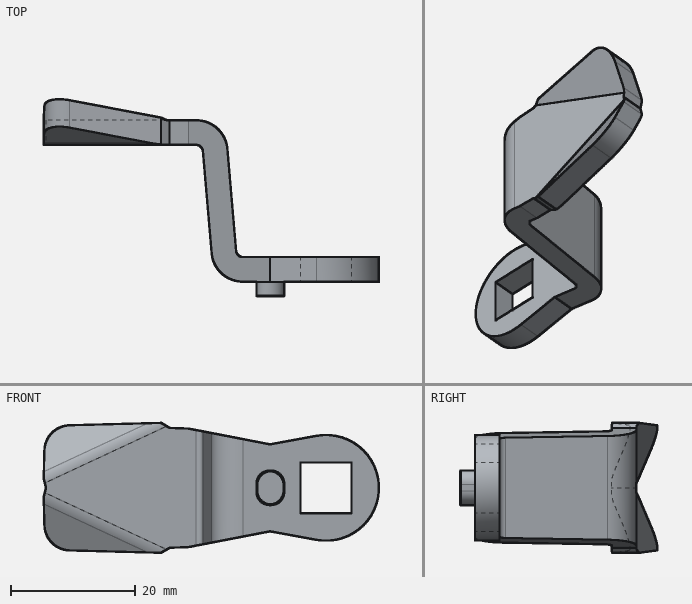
import cadquery as cq
import math

thickness = 4.0
head_radius = 8.5
tip_x = head_radius - 53.95
square_side = 8.15
offset_y = 22.0
leg_top_x = -19.9
leg_bottom_x = -18.0
inner_bend = 1.1
outer_bend = inner_bend + thickness

neck_x, neck_z = -9.0, 7.0
shoulder_x, shoulder_z = -22.1, 9.55
step_x, step_z = -25.15, 9.65
ear_x, ear_z = -26.55, 10.45
tip_corner_z = 10.0
tip_corner_radius = 4.2
notch_depth = 0.4
notch_half_height = 1.5
tip_lean = 0.2

fold_start_x, fold_start_z = step_x, 10.15
fold_slope = 25.0
wing_angle = 25.5
wing_reach = 27.0

pin_x = -8.95
pin_width = 4.55
pin_height = 5.6
pin_length = 2.4
pin_chamfer = 0.15

depth_margin = 53.95


def bent_strip():
    """Z-shaped strip of constant thickness, wide in Z."""
    lean = math.atan2(leg_bottom_x - leg_top_x, offset_y)
    shift = thickness * (1 - math.sin(lean)) / math.cos(lean)
    back_top = (leg_top_x + shift, offset_y + thickness)
    back_bottom = (leg_bottom_x + shift, thickness)
    strip = (
        cq.Workplane("XY")
        .moveTo(step_x, offset_y)
        .lineTo(leg_top_x, offset_y)
        .lineTo(leg_bottom_x, 0)
        .lineTo(head_radius, 0)
        .lineTo(head_radius, thickness)
        .lineTo(*back_bottom)
        .lineTo(*back_top)
        .lineTo(step_x, offset_y + thickness)
        .close()
        .extrude(ear_z, both=True)
    )

    def round_edge(body, point, radius):
        edge = cq.selectors.NearestToPointSelector((*point, 0))
        return body.edges("|Z").edges(edge).fillet(radius)

    strip = round_edge(strip, (leg_top_x, offset_y), inner_bend)
    strip = round_edge(strip, back_top, outer_bend)
    strip = round_edge(strip, (leg_bottom_x, 0), outer_bend)
    return round_edge(strip, back_bottom, inner_bend)


def folded_half():
    """Upper half of the tip: flat up to the diagonal fold, then a wing leaning back."""
    slope = math.radians(fold_slope)
    along_fold = cq.Vector(-math.cos(slope), 0, -math.sin(slope))
    across_fold = cq.Vector(-math.sin(slope), 0, math.cos(slope))
    crease = cq.Vector(fold_start_x, offset_y + thickness, fold_start_z)
    section = cq.Plane(origin=crease, xDir=across_fold, normal=along_fold)

    def on_arc(degrees):
        angle = math.radians(degrees)
        return (thickness * math.sin(angle), -thickness * math.cos(angle))

    angle = math.radians(wing_angle)
    reach = (wing_reach * math.cos(angle), wing_reach * math.sin(angle))
    arc_end = on_arc(wing_angle)
    sheet = (
        cq.Workplane(section)
        .moveTo(-wing_reach, 0)
        .lineTo(0, 0)
        .lineTo(*reach)
        .lineTo(reach[0] + arc_end[0], reach[1] + arc_end[1])
        .lineTo(*arc_end)
        .threePointArc(on_arc(wing_angle / 2), (0, -thickness))
        .lineTo(-wing_reach, -thickness)
        .close()
        .extrude(depth_margin, both=True)
    )
    tip_box = cq.Workplane("XY").box(
        step_x - tip_x, 2 * depth_margin, ear_z, centered=(False, True, False)
    ).translate((tip_x, 0, 0))
    return sheet.intersect(tip_box)


def outline_prism():
    """Outline of the whole part, extruded along Y."""
    neck_distance = math.hypot(neck_x, neck_z)
    tangent_angle = math.atan2(neck_z, neck_x) - math.acos(head_radius / neck_distance)
    tangent_x = head_radius * math.cos(tangent_angle)
    tangent_z = head_radius * math.sin(tangent_angle)
    upper = [
        (neck_x, neck_z),
        (shoulder_x, shoulder_z),
        (step_x, step_z),
        (ear_x, ear_z),
        (tip_x + tip_lean, tip_corner_z),
        (tip_x, notch_half_height),
    ]
    lower = [(x, -z) for x, z in reversed(upper)]
    prism = (
        cq.Workplane("XZ")
        .moveTo(tangent_x, -tangent_z)
        .threePointArc((head_radius, 0), (tangent_x, tangent_z))
        .polyline(upper + [(tip_x + notch_depth, 0)] + lower, includeCurrent=True)
        .close()
        .extrude(depth_margin, both=True)
    )
    for side in (1, -1):
        corner = (tip_x + tip_lean, 0, side * tip_corner_z)
        edge = cq.selectors.NearestToPointSelector(corner)
        prism = prism.edges("|Y").edges(edge).fillet(tip_corner_radius)
    return prism


def locating_pin():
    """Pin with rounded ends standing on the front face."""
    return (
        cq.Workplane("XZ")
        .center(pin_x, 0)
        .slot2D(pin_height, pin_width, 90)
        .extrude(pin_length)
        .faces("<Y")
        .chamfer(pin_chamfer)
    )


upper_half = folded_half()
blank = bent_strip().union(upper_half).union(upper_half.mirror("XY"))
square_hole = cq.Workplane("XZ").rect(square_side, square_side).extrude(-thickness)

result = blank.intersect(outline_prism()).cut(square_hole).union(locating_pin())